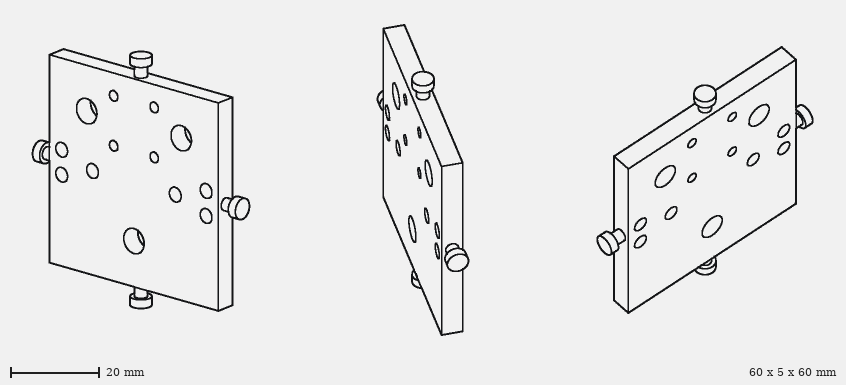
import cadquery as cq

overall_span = 60.0
plate_side = 50.0
plate_thickness = 5.0

head_diameter = plate_thickness
head_length = 2.1
shank_diameter = 3.0

large_diameter = 6.0
large_offset = 14.0
large_centres = [(-large_offset, large_offset), (large_offset, large_offset), (0, -large_offset)]

medium_diameter = 3.5
inner_offset = 12.25
outer_offset = 21.35
outer_half_pitch = 3.0
medium_centres = [(side * inner_offset, 0) for side in (-1, 1)]
medium_centres += [
    (side * outer_offset, level * outer_half_pitch) for side in (-1, 1) for level in (-1, 1)
]

small_diameter = 2.45
small_half_pitch = 6.0
small_group_height = 13.5
small_centres = [
    (side * small_half_pitch, small_group_height + level * small_half_pitch)
    for side in (-1, 1)
    for level in (-1, 1)
]


def through_holes(centres, diameter):
    """Cylinders along Y that pass through the whole plate."""
    return (
        cq.Workplane("XZ")
        .pushPoints(centres)
        .circle(diameter / 2)
        .extrude(plate_thickness, both=True)
    )


def top_pin():
    """Headed pin standing on the middle of the top edge."""
    shank_length = (overall_span - plate_side) / 2 - head_length
    return (
        cq.Workplane("XY")
        .workplane(offset=plate_side / 2)
        .circle(shank_diameter / 2)
        .extrude(shank_length)
        .faces(">Z")
        .workplane()
        .circle(head_diameter / 2)
        .extrude(head_length)
    )


result = cq.Workplane("XY").box(plate_side, plate_thickness, plate_side)

for centres, diameter in (
    (large_centres, large_diameter),
    (medium_centres, medium_diameter),
    (small_centres, small_diameter),
):
    result = result.cut(through_holes(centres, diameter))

for angle in (0, 90, 180, 270):
    result = result.union(top_pin().rotate((0, 0, 0), (0, 1, 0), angle))